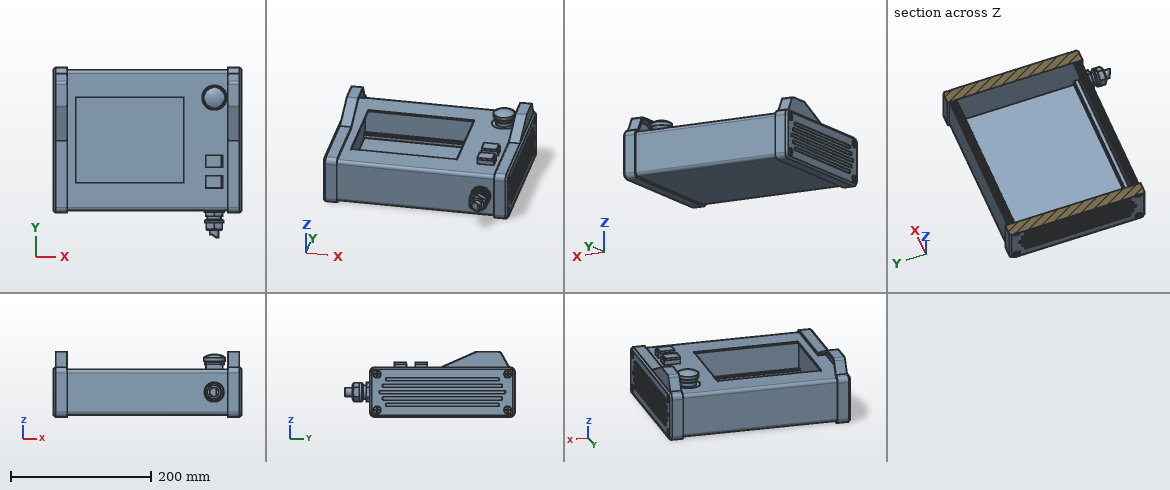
import cadquery as cq
import math

LENGTH = 268.0
CAP_DEPTH = 207.0
CAP_HEIGHT = 71.5
CAP_LENGTH = 19.5
CAP_CORNER = 8.0
CAP_BEVEL = 3.0
TUBE_INSET = 3.0
WALL = 2.5

TUBE_DEPTH = CAP_DEPTH - 2 * TUBE_INSET
TUBE_HEIGHT = CAP_HEIGHT - 2 * TUBE_INSET
TUBE_LENGTH = LENGTH - 2 * CAP_LENGTH
TUBE_CORNER = CAP_CORNER - TUBE_INSET
MID_Z = CAP_HEIGHT / 2
PANEL_Z = CAP_HEIGHT - TUBE_INSET
FRONT_Y = -TUBE_DEPTH / 2

WINDOW_LEFT, WINDOW_RIGHT = -102.5, 51.5
WINDOW_DEPTH = 122.0

SCREW_Y = 93.0
SCREW_DZ = 25.5
SCREW_HEAD_R = 5.3
SCREW_RECESS = 0.5
CROSS_LENGTH = 6.5
CROSS_WIDTH = 1.2
CROSS_DEPTH = 1.5
GROOVE_HALF_LENGTHS = [81.0, 85.5, 90.0, 85.5, 81.0]
GROOVE_PITCH = 9.1
GROOVE_WIDTH = 4.4
GROOVE_DEPTH = 1.0

CHANNEL_R = 4.5
CHANNEL_BORE_R = 2.0
CHANNEL_GAP = 2.0
CHANNEL_WALL_OVERLAP = 0.5

GUARD_TOP = 93.25
GUARD_REAR_Y, GUARD_REAR_Z = 97.6, 71.0
GUARD_FOOT_Y, GUARD_FOOT_Z = 94.2, 72.7
GUARD_TOP_REAR_Y, GUARD_TOP_FRONT_Y = 82.8, 48.0
GUARD_FRONT_Y = -1.0
GUARD_REAR_ROUND = 5.0
GUARD_FRONT_ROUND = 3.0
GUARD_WALL = 3.0
GUARD_POCKET_DEPTH = 11.5
GUARD_SEAT_Z = PANEL_Z - GUARD_WALL

KEY_X = 95.0
KEY_YS = [-30.2, -59.7]
KEY_LENGTH = 24.0
KEY_DEPTH = 17.6
KEY_BASE_HEIGHT = 6.8
KEY_HEIGHT = 9.8
KEY_SIDE_RIM = 0.25
KEY_RIGHT_RIM = 2.2

BUTTON_X, BUTTON_Y = 95.3, 60.5
COLLAR_R = 17.5
STEM_R = 12.0
NECK_R = 13.5
HEAD_LOWER_R = 14.0
HEAD_R = 15.2
NECK_Z = 74.6
HEAD_LOWER_Z = 77.5
HEAD_Z = 80.0
DOME_Z = 85.0
BUTTON_TOP = 89.7

GLAND_X = 95.0
WASHER_R, WASHER_END = 14.0, 2.5
NUT_CORNER_R, NUT_END = 14.0, 7.8
NECK_GLAND_R, NECK_GLAND_END = 10.0, 12.0
RING_R, RING_START, RING_END = 13.4, 14.2, 17.6
CLAMP_CORNER_R, CLAMP_END = 13.4, 25.3
CLAMP_TIP_R, CLAMP_TIP_END = 9.8, 27.8
CABLE_R = 6.5
TOTAL_DEPTH = 242.31
CABLE_END = TOTAL_DEPTH - CAP_DEPTH + TUBE_INSET
CABLE_SHORT_END = CABLE_END - 4.0
CABLE_CUT_REACH = 10.0


def rounded_bar(length, depth, height, corner):
    """Bar along X, centred on the enclosure, with its long edges rounded."""
    bar = cq.Workplane("XY").box(length, depth, height).edges("|X").fillet(corner)
    return bar.translate((0, 0, MID_Z))


def screw_channel(side_y, side_z):
    """C-shaped screw channel in one inner corner, open towards the middle of the tube."""
    y = side_y * SCREW_Y
    z = MID_Z + side_z * SCREW_DZ
    reach_y = TUBE_DEPTH / 2 - WALL + CHANNEL_WALL_OVERLAP - SCREW_Y
    reach_z = TUBE_HEIGHT / 2 - WALL + CHANNEL_WALL_OVERLAP - SCREW_DZ
    profile = cq.Workplane("YZ", origin=(-TUBE_LENGTH / 2, y, z))
    channel = profile.circle(CHANNEL_R).extrude(TUBE_LENGTH)
    web_center = (side_y * reach_y / 2, side_z * reach_z / 2)
    channel = channel.union(profile.center(*web_center).rect(reach_y, reach_z).extrude(TUBE_LENGTH))
    bore = profile.circle(CHANNEL_BORE_R).extrude(TUBE_LENGTH)
    opening = cq.Workplane("XY").box(TUBE_LENGTH, 2 * CHANNEL_R, CHANNEL_GAP)
    opening = opening.translate((0, -CHANNEL_R, 0))
    slope = math.degrees(math.atan2(side_z, side_y))
    opening = opening.rotate((0, 0, 0), (1, 0, 0), slope).translate((0, y, z))
    return channel.cut(bore).cut(opening)


def make_tube():
    """Hollow extruded tube with the window opening and the four screw channels."""
    tube = rounded_bar(TUBE_LENGTH, TUBE_DEPTH, TUBE_HEIGHT, TUBE_CORNER)
    cavity = rounded_bar(TUBE_LENGTH, TUBE_DEPTH - 2 * WALL, TUBE_HEIGHT - 2 * WALL, TUBE_CORNER - WALL)
    tube = tube.cut(cavity)
    for side_y in (-1, 1):
        for side_z in (-1, 1):
            tube = tube.union(screw_channel(side_y, side_z))
    window = cq.Workplane("XY").box(WINDOW_RIGHT - WINDOW_LEFT, WINDOW_DEPTH, 2 * WALL)
    window = window.translate(((WINDOW_LEFT + WINDOW_RIGHT) / 2, 0, PANEL_Z))
    return tube.cut(window)


def guard_outline(x):
    """Closed guard outline at a position along X: steep rear, flat top and gentle front slope."""
    profile = [
        (GUARD_REAR_Y, GUARD_SEAT_Z),
        (GUARD_REAR_Y, GUARD_REAR_Z),
        (GUARD_FOOT_Y, GUARD_FOOT_Z),
        (GUARD_TOP_REAR_Y, GUARD_TOP),
        (GUARD_TOP_FRONT_Y, GUARD_TOP),
        (GUARD_FRONT_Y, CAP_HEIGHT),
        (GUARD_FRONT_Y, GUARD_SEAT_Z),
    ]
    return cq.Workplane("YZ", origin=(x, 0, 0)).polyline(profile).close()


def make_guard():
    """Raised guard on top of the left cap."""
    guard = guard_outline(CAP_BEVEL - LENGTH / 2).extrude(CAP_LENGTH - CAP_BEVEL)
    guard = guard.edges("|X and >Z").edges(">Y").fillet(GUARD_REAR_ROUND)
    return guard.edges("|X and >Z").edges("<Y").fillet(GUARD_FRONT_ROUND)


def make_guard_pocket():
    """Hollow on the inner side of the guard, with its floor level with the top panel."""
    pocket = guard_outline(CAP_LENGTH - LENGTH / 2).offset2D(-GUARD_WALL, "intersection")
    return pocket.extrude(-GUARD_POCKET_DEPTH)


def make_left_cap():
    """End cap with bevelled outer rim, hollowed guard, grooves and sunk cross-head screws."""
    cap = rounded_bar(CAP_LENGTH, CAP_DEPTH, CAP_HEIGHT, CAP_CORNER)
    cap = cap.translate(((CAP_LENGTH - LENGTH) / 2, 0, 0))
    cap = cap.faces("<X").chamfer(CAP_BEVEL)
    cap = cap.union(make_guard()).cut(make_guard_pocket())

    outer_face = cq.Workplane("YZ", origin=(-LENGTH / 2, 0, MID_Z))
    middle = (len(GROOVE_HALF_LENGTHS) - 1) / 2
    for index, half_length in enumerate(GROOVE_HALF_LENGTHS):
        row = outer_face.center(0, (index - middle) * GROOVE_PITCH)
        cap = cap.cut(row.slot2D(2 * half_length, GROOVE_WIDTH).extrude(GROOVE_DEPTH))

    screws = outer_face.rect(2 * SCREW_Y, 2 * SCREW_DZ, forConstruction=True).vertices()
    cap = cap.cut(screws.circle(SCREW_HEAD_R).extrude(SCREW_RECESS))
    cap = cap.cut(screws.rect(CROSS_LENGTH, CROSS_WIDTH).extrude(CROSS_DEPTH))
    return cap.cut(screws.rect(CROSS_WIDTH, CROSS_LENGTH).extrude(CROSS_DEPTH))


def make_key(y):
    """Key block with a raised top, set back on its +X side and slightly on its Y sides."""
    seat_z = PANEL_Z - WALL / 2
    base = cq.Workplane("XY", origin=(KEY_X, y, seat_z)).rect(KEY_LENGTH, KEY_DEPTH)
    base = base.extrude(PANEL_Z + KEY_BASE_HEIGHT - seat_z)
    top_x = KEY_X - KEY_RIGHT_RIM / 2
    top = cq.Workplane("XY", origin=(top_x, y, seat_z))
    top = top.rect(KEY_LENGTH - KEY_RIGHT_RIM, KEY_DEPTH - 2 * KEY_SIDE_RIM)
    return base.union(top.extrude(PANEL_Z + KEY_HEIGHT - seat_z))


def make_hexagon(corner_radius, start, end):
    """Hexagonal prism on the gland axis with two corners pointing up and down."""
    hexagon = cq.Workplane("XZ").polygon(6, 2 * corner_radius).extrude(end - start)
    return hexagon.rotate((0, 0, 0), (0, 1, 0), 90).translate((0, -start, 0))


def make_gland():
    """Cable gland with its nuts and a short cable stub cut off along a wave."""
    turned_profile = [
        (0, WALL / 2),
        (WASHER_R, WALL / 2),
        (WASHER_R, -WASHER_END),
        (NECK_GLAND_R, -WASHER_END),
        (NECK_GLAND_R, -NECK_GLAND_END),
        (RING_R, -RING_START),
        (RING_R, -RING_END),
        (CABLE_R, -RING_END),
        (CABLE_R, -CABLE_END),
        (0, -CABLE_END),
    ]
    gland = cq.Workplane("XY").polyline(turned_profile).close().revolve(360, (0, 0, 0), (0, 1, 0))
    gland = gland.union(make_hexagon(NUT_CORNER_R, WASHER_END, NUT_END))

    clamp_profile = [
        (0, -RING_END),
        (CLAMP_CORNER_R, -RING_END),
        (CLAMP_CORNER_R, -CLAMP_END),
        (CLAMP_TIP_R, -CLAMP_TIP_END),
        (0, -CLAMP_TIP_END),
    ]
    clamp_cone = cq.Workplane("XY").polyline(clamp_profile).close().revolve(360, (0, 0, 0), (0, 1, 0))
    gland = gland.union(make_hexagon(CLAMP_CORNER_R, RING_END, CLAMP_TIP_END).intersect(clamp_cone))

    wave = [
        (-CABLE_R / 2, -CABLE_SHORT_END),
        (CABLE_R / 2, -CABLE_END),
        (CABLE_CUT_REACH, -CABLE_SHORT_END),
    ]
    cut_off = cq.Workplane("XY", origin=(0, 0, -CABLE_CUT_REACH))
    cut_off = cut_off.moveTo(-CABLE_CUT_REACH, -CABLE_END).spline(wave, includeCurrent=True)
    cut_off = cut_off.lineTo(CABLE_CUT_REACH, -CABLE_END - CABLE_CUT_REACH)
    cut_off = cut_off.lineTo(-CABLE_CUT_REACH, -CABLE_END - CABLE_CUT_REACH).close()
    gland = gland.cut(cut_off.extrude(2 * CABLE_CUT_REACH))
    return gland.translate((GLAND_X, FRONT_Y, MID_Z))


def make_stop_button():
    """Stop button: collar flush in the panel, stepped neck and domed head."""
    profile = cq.Workplane("XZ").moveTo(0, PANEL_Z - WALL)
    profile = profile.lineTo(COLLAR_R, PANEL_Z - WALL).lineTo(COLLAR_R, PANEL_Z)
    profile = profile.lineTo(STEM_R, PANEL_Z).lineTo(STEM_R, NECK_Z)
    profile = profile.lineTo(NECK_R, NECK_Z).lineTo(HEAD_LOWER_R, HEAD_LOWER_Z)
    profile = profile.lineTo(HEAD_LOWER_R, HEAD_Z).lineTo(HEAD_R, HEAD_Z).lineTo(HEAD_R, DOME_Z)
    dome_rise = BUTTON_TOP - DOME_Z
    dome_radius = (HEAD_R ** 2 + dome_rise ** 2) / (2 * dome_rise)
    half_angle = math.asin(HEAD_R / dome_radius) / 2
    middle_z = BUTTON_TOP - dome_radius * (1 - math.cos(half_angle))
    profile = profile.threePointArc((dome_radius * math.sin(half_angle), middle_z), (0, BUTTON_TOP)).close()
    return profile.revolve(360, (0, 0, 0), (0, 1, 0)).translate((BUTTON_X, BUTTON_Y, 0))


left_cap = make_left_cap()
right_cap = left_cap.mirror("YZ")
housing = make_tube().union(left_cap).union(right_cap)
for key_y in KEY_YS:
    housing = housing.union(make_key(key_y))
housing = housing.union(make_gland())

collar_hole = cq.Workplane("XY", origin=(BUTTON_X, BUTTON_Y, PANEL_Z - WALL)).circle(COLLAR_R).extrude(WALL)
housing = housing.cut(collar_hole)
stop_button = make_stop_button()

result = cq.Compound.makeCompound([housing.solids().val(), stop_button.solids().val()])